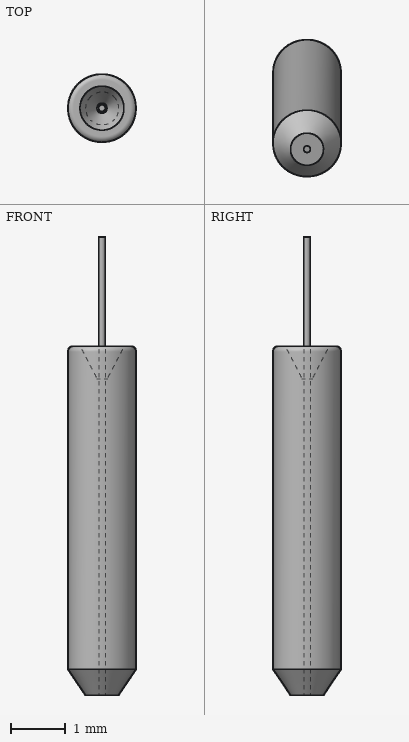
import cadquery as cq

total_length = 8.4
wire_length_exposed = 2.0
body_top = total_length - wire_length_exposed

body_radius = 0.626
rim_fillet = 0.1
tip_radius = 0.3
tip_height = 0.48

funnel_radius = 0.4
funnel_depth = 0.6
funnel_floor_radius = 0.09

wire_radius = 0.062

def make_wire():
    """Straight round wire running from the ferrule tip to the free end."""
    return cq.Workplane("XY").circle(wire_radius).extrude(total_length)

def make_funnel():
    """Cone that narrows from the rim to a small flat floor around the wire."""
    return (
        cq.Workplane("XZ")
        .moveTo(0, body_top)
        .lineTo(funnel_radius, body_top)
        .lineTo(funnel_floor_radius, body_top - funnel_depth)
        .lineTo(0, body_top - funnel_depth)
        .close()
        .revolve(360, (0, 0, 0), (0, 1, 0))
    )

def make_ferrule():
    """Round sleeve with a conical tip, a rounded rim, a funnel and a through bore."""
    sleeve = (
        cq.Workplane("XZ")
        .lineTo(tip_radius, 0)
        .lineTo(body_radius, tip_height)
        .lineTo(body_radius, body_top)
        .lineTo(0, body_top)
        .close()
        .revolve(360, (0, 0, 0), (0, 1, 0))
        .faces(">Z")
        .edges()
        .fillet(rim_fillet)
    )
    bore = cq.Workplane("XY").circle(wire_radius).extrude(body_top)
    return sleeve.cut(make_funnel()).cut(bore)

ferrule = make_ferrule()
wire = make_wire()

result = cq.Compound.makeCompound([ferrule.val(), wire.val()])